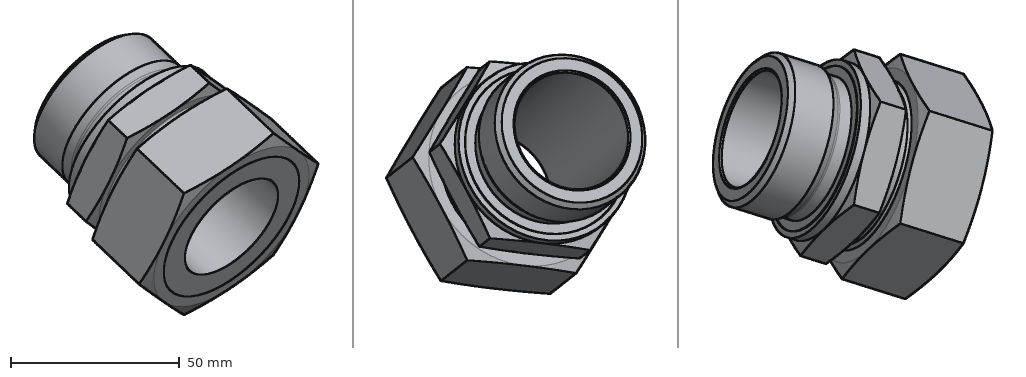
import cadquery as cq
import math


STUD_THREAD_END = 14.6
FLANGE_FACE = 21.9
COLLAR_START = 25.1
COLLAR_END = 36.0
NUT_NECK_END = 39.5
NUT_START = 40.0
NUT_END = 64.0

BORE_RADIUS = 18.0
STUD_RADIUS = 23.9
STUD_NECK_RADIUS = 22.3
NUT_NECK_RADIUS = 24.6
NUT_THREAD_RADIUS = 26.2

STUD_CHAMFER = 1.6
BORE_CHAMFER = 0.55
STUD_NECK_FILLET = 1.3
NUT_NECK_FILLET = 0.75
RELIEF_ANGLE = 30.0
HEX_CHAMFER_ANGLE = 15.0

NUT_CORNER_RADIUS = 34.65
COLLAR_FLAT_RADIUS = 27.5
FLANGE_RADIUS = COLLAR_FLAT_RADIUS

SEAL_RADIUS = 25.5
SEAL_DEPTH = 2.1
SEAL_PROUD = 0.2


def revolve_about_x(points):
    """Turn a closed (x, radius) outline once around the X axis."""
    return cq.Workplane("XY").polyline(points).close().revolve(360, (0, 0, 0), (1, 0, 0))


def cylinder(start, end, radius):
    """Solid cylinder about the X axis."""
    return cq.Workplane("YZ", origin=(start, 0, 0)).circle(radius).extrude(end - start)


def hexagon(start, end, flat_radius):
    """Hexagonal prism with its corners on the Y axis, chamfered conically at both ends."""
    corner_radius = flat_radius / math.cos(math.radians(30))
    prism = cq.Workplane("YZ", origin=(start, 0, 0)).polygon(6, 2 * corner_radius).extrude(end - start)
    setback = (corner_radius - flat_radius) * math.tan(math.radians(HEX_CHAMFER_ANGLE))
    envelope = revolve_about_x([
        (start, 0),
        (start, flat_radius),
        (start + setback, corner_radius),
        (end - setback, corner_radius),
        (end, flat_radius),
        (end, 0),
    ])
    return prism.intersect(envelope)


def fillet_circle(solid, station, radius, fillet_radius):
    """Round the circular edge of the given radius at the given place along X."""
    tolerance = 0.001

    def is_wanted(edge):
        return (
            edge.geomType() == "CIRCLE"
            and abs(edge.Center().x - station) < tolerance
            and abs(edge.radius() - radius) < tolerance
        )

    return solid.newObject([e for e in solid.edges().vals() if is_wanted(e)]).fillet(fillet_radius)


def cone_length(small_radius, large_radius):
    """Length along X of a thread run-out cone between two radii."""
    return (large_radius - small_radius) / math.tan(math.radians(RELIEF_ANGLE))


def make_body():
    """Turned body with a hexagonal collar, a stud at one end and a nut thread at the other."""
    stud_relief_end = STUD_THREAD_END + cone_length(STUD_NECK_RADIUS, STUD_RADIUS)
    nut_thread_start = NUT_NECK_END + cone_length(NUT_NECK_RADIUS, NUT_THREAD_RADIUS)
    turned = revolve_about_x([
        (0, 0),
        (0, STUD_RADIUS - STUD_CHAMFER),
        (STUD_CHAMFER, STUD_RADIUS),
        (STUD_THREAD_END, STUD_RADIUS),
        (stud_relief_end, STUD_NECK_RADIUS),
        (FLANGE_FACE, STUD_NECK_RADIUS),
        (FLANGE_FACE, FLANGE_RADIUS),
        (COLLAR_START, FLANGE_RADIUS),
        (COLLAR_START, NUT_NECK_RADIUS),
        (NUT_NECK_END, NUT_NECK_RADIUS),
        (nut_thread_start, NUT_THREAD_RADIUS),
        (NUT_END, NUT_THREAD_RADIUS),
        (NUT_END, 0),
    ])
    body = turned.union(hexagon(COLLAR_START, COLLAR_END, COLLAR_FLAT_RADIUS))

    body = fillet_circle(body, stud_relief_end, STUD_NECK_RADIUS, STUD_NECK_FILLET)
    body = fillet_circle(body, COLLAR_END, NUT_NECK_RADIUS, NUT_NECK_FILLET)

    body = body.cut(cylinder(0, NUT_END, BORE_RADIUS))
    body = body.cut(revolve_about_x([
        (0, 0),
        (0, BORE_RADIUS + BORE_CHAMFER),
        (BORE_CHAMFER, BORE_RADIUS),
        (BORE_CHAMFER, 0),
    ]))

    return body.cut(make_seal_ring())


def make_seal_ring():
    """Flat ring around the stud neck."""
    start = FLANGE_FACE - SEAL_PROUD
    end = FLANGE_FACE + SEAL_DEPTH
    return cylinder(start, end, SEAL_RADIUS).cut(cylinder(start, end, STUD_NECK_RADIUS))


def make_nut():
    """Union nut, flush with the end of the body and fitting around its thread."""
    flat_radius = NUT_CORNER_RADIUS * math.cos(math.radians(30))
    nut = hexagon(NUT_START, NUT_END, flat_radius)
    return nut.cut(cylinder(NUT_START, NUT_END, NUT_THREAD_RADIUS))


body = make_body()
seal_ring = make_seal_ring()
nut = make_nut()

result = cq.Compound.makeCompound([part.solids().val() for part in (body, seal_ring, nut)])